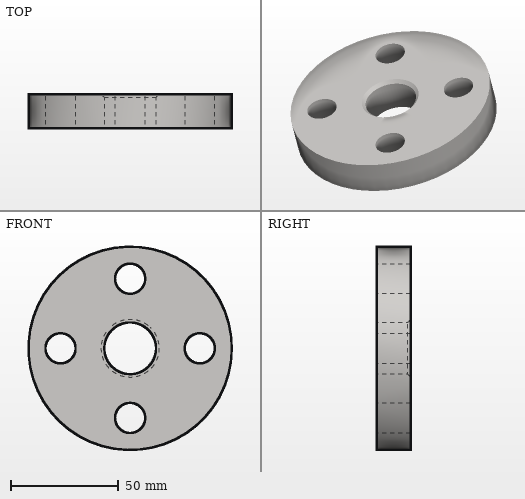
import cadquery as cq

disc_diameter = 95.0
disc_thickness = 16.0
bore_diameter = 24.0
bore_chamfer = 1.5
bolt_hole_diameter = 14.0
bolt_circle_diameter = 65.0
bolt_hole_count = 4

disc = (
    cq.Workplane("XZ", origin=(0, disc_thickness / 2, 0))
    .circle(disc_diameter / 2)
    .extrude(disc_thickness)
)

bored_disc = disc.faces("<Y").workplane().hole(bore_diameter)

bore_rim = cq.selectors.RadiusNthSelector(0)
bored_disc = bored_disc.faces(">Y").edges(bore_rim).chamfer(bore_chamfer)

result = (
    bored_disc.faces("<Y")
    .workplane()
    .polarArray(bolt_circle_diameter / 2, 0, 360, bolt_hole_count)
    .hole(bolt_hole_diameter)
)